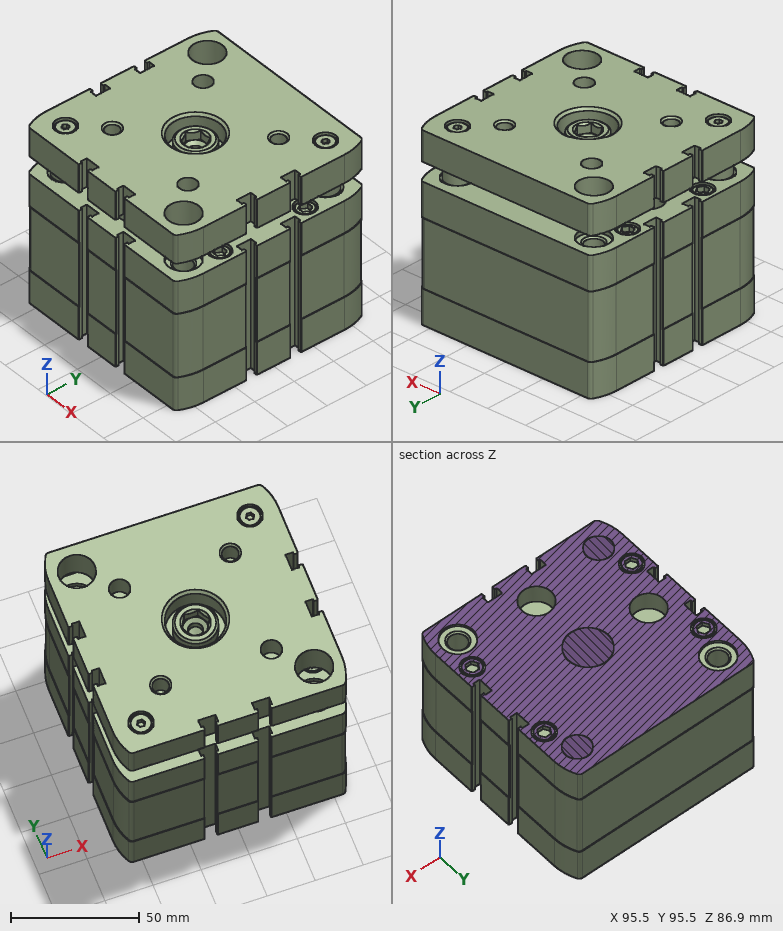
import cadquery as cq
import math

width = 95.5
half = width / 2
plate_top = 86.9
plate_thickness = 14.1
plate_bottom = plate_top - plate_thickness
housing_top = 64.0
cap_height = 16.2
barrel_inset = 0.3

corner_start = 35.8
corner_radius = 24.0
corner_blend = 2.0

slot_offset = 11.2
slot_mouth = 5.2
slot_width = 7.2
slot_lip = 1.7
slot_depth = 4.9
slot_edge_break = 0.3

corner_pitch = 36.0
rod_diameter = 12.0
rod_recess_diameter = 14.0
rod_recess_depth = 0.5
rod_bottom = cap_height
access_diameter = 15.0
mount_recess_depth = 2.0
mount_hole_diameter = 8.5
mount_chamfer_diameter = 10.0

screw_recess_diameter = 10.0
screw_recess_depth = 1.5
screw_head_chamfer = 0.3

rod_screw_head = 8.6
rod_screw_drop = 0.6
rod_screw_socket = 3.0
rod_screw_socket_depth = 2.0

fixing_pitch = 23.0
dowel_diameter = 8.4
dowel_depth = 10.0
tapped_diameter = 6.7

piston_rod_diameter = 20.0
flat_width = 17.0
flat_bottom = 65.7
flat_shoulder_drop = 0.6
plate_pocket_mouth = 26.4
plate_pocket_diameter = 24.0
plate_pocket_depth = 9.55
stud_diameter = 18.0
stud_drop = 2.9
stud_top = plate_top - stud_drop
stud_chamfer = 1.0
stud_socket_flats = 10.0
stud_socket_mouth = 12.0
stud_socket_depth = 4.6
stud_pilot_diameter = 6.0
drill_slope = 0.6
stud_pilot_depth = 3.0

cap_screw_x = 40.8
cap_screw_y = 21.7
cap_screw_head = 8.5
cap_screw_drop = 0.4
cap_screw_socket = 5.0
cap_screw_socket_depth = 2.5

pocket_diameter = 14.8
pocket_depth = 10.0
pocket_offset = 31.0

rod_places = [(-corner_pitch, -corner_pitch), (corner_pitch, corner_pitch)]
mount_places = [(-corner_pitch, corner_pitch), (corner_pitch, -corner_pitch)]
tapped_places = [(-fixing_pitch, -fixing_pitch), (fixing_pitch, fixing_pitch)]
dowel_places = [(-fixing_pitch, fixing_pitch), (fixing_pitch, -fixing_pitch)]
cap_screw_places = [(sx * cap_screw_x, sy * cap_screw_y) for sx in (-1, 1) for sy in (-1, 1)]
pocket_places = [(-pocket_offset, 0), (0, -pocket_offset)]


def cylinder(diameter, bottom, top, place=(0, 0)):
    """Upright cylinder between two heights."""
    return cq.Workplane("XY", origin=(*place, bottom)).circle(diameter / 2).extrude(top - bottom)


def cone(bottom_diameter, top_diameter, bottom, top, place=(0, 0)):
    """Upright cone frustum between two heights."""
    solid = cq.Solid.makeCone(
        bottom_diameter / 2, top_diameter / 2, top - bottom, cq.Vector(*place, bottom)
    )
    return cq.Workplane(solid)


def hexagon(flats, bottom, top, place=(0, 0)):
    """Upright hexagonal prism with two corners on the X direction."""
    corners = flats * 2 / math.sqrt(3)
    return cq.Workplane("XY", origin=(*place, bottom)).polygon(6, corners).extrude(top - bottom)


def block(bottom, top, inset=0.0):
    """Square block whose X sides curve inward toward the corners."""
    disc_x = half - corner_radius
    corner_rise = half - corner_start
    corner_x = disc_x + math.sqrt(corner_radius ** 2 - corner_rise ** 2)
    mid_y = corner_start + corner_rise / 2
    mid_x = disc_x + math.sqrt(corner_radius ** 2 - (corner_rise / 2) ** 2)
    outline = (
        cq.Workplane("XY", origin=(0, 0, bottom))
        .moveTo(-corner_x, -half)
        .lineTo(corner_x, -half)
        .threePointArc((mid_x, -mid_y), (half, -corner_start))
        .lineTo(half, corner_start)
        .threePointArc((mid_x, mid_y), (corner_x, half))
        .lineTo(-corner_x, half)
        .threePointArc((-mid_x, mid_y), (-half, corner_start))
        .lineTo(-half, -corner_start)
        .threePointArc((-mid_x, -mid_y), (-corner_x, -half))
        .close()
    )
    if inset:
        outline = outline.offset2D(-inset)
    solid = outline.extrude(top - bottom)
    return solid.edges("|Z and (>Y or <Y)").fillet(corner_blend)


def t_slots(bottom, top, inset=0.0):
    """T-slot pairs on the -Y, -X and +X sides, with the mouth edges broken at the block face."""
    face = -half + inset
    lip_inner = -half + slot_lip
    floor = -half + slot_depth
    mouth = slot_mouth / 2
    undercut = slot_width / 2
    flare = mouth + slot_edge_break
    profile = [
        (-flare, face), (-mouth, face + slot_edge_break), (-mouth, lip_inner), (-undercut, lip_inner),
        (-undercut, floor), (undercut, floor),
        (undercut, lip_inner), (mouth, lip_inner), (mouth, face + slot_edge_break), (flare, face),
    ]
    cutter = cq.Workplane("XY")
    for offset in (-slot_offset, slot_offset):
        slot = cq.Workplane("XY").polyline(profile).close().extrude(top - bottom)
        slot = slot.translate((offset, 0, bottom))
        for angle in (0, 90, -90):
            cutter = cutter.add(slot.rotate((0, 0, 0), (0, 0, 1), angle))
    return cutter.combine()


def slotted_block(bottom, top, inset=0.0):
    """Block with its T-slots cut along the full height."""
    return block(bottom, top, inset).cut(t_slots(bottom, top, inset))


def sink_screw(body, place, surface, head, drop, socket, socket_depth):
    """Form a screw head with a hexagon socket inside a round recess."""
    head_top = surface - drop
    recess_floor = surface - screw_recess_depth
    body = body.cut(cylinder(screw_recess_diameter, recess_floor, surface, place))
    screw_head = cylinder(head, recess_floor, head_top, place).faces(">Z").chamfer(screw_head_chamfer)
    body = body.union(screw_head)
    return body.cut(hexagon(socket, head_top - socket_depth, head_top, place))


def make_housing():
    """Barrel between two caps, with sockets for the rods and the cap screws."""
    cap_bottom = housing_top - cap_height
    body = slotted_block(0, cap_height)
    body = body.union(slotted_block(cap_height, cap_bottom, barrel_inset))
    body = body.union(slotted_block(cap_bottom, housing_top))
    body = body.cut(cylinder(piston_rod_diameter, rod_bottom, housing_top))
    for place in rod_places:
        body = body.cut(cylinder(rod_diameter, rod_bottom, housing_top, place))
        body = body.cut(
            cylinder(rod_recess_diameter, housing_top - rod_recess_depth, housing_top, place)
        )
    for place in mount_places:
        recess_floor = housing_top - mount_recess_depth
        chamfer = (mount_chamfer_diameter - mount_hole_diameter) / 2
        body = body.cut(cylinder(mount_hole_diameter, 0, housing_top, place))
        body = body.cut(cylinder(access_diameter, recess_floor, housing_top, place))
        body = body.cut(
            cone(mount_hole_diameter, mount_chamfer_diameter, recess_floor - chamfer, recess_floor, place)
        )
    for place in cap_screw_places:
        body = sink_screw(
            body, place, housing_top, cap_screw_head, cap_screw_drop, cap_screw_socket, cap_screw_socket_depth
        )
    for place in pocket_places:
        body = body.cut(cylinder(pocket_diameter, housing_top - pocket_depth, housing_top, place))
    return body


def make_piston_rod():
    """Round rod with two wrench flats that end in sloping shoulders."""
    radius = piston_rod_diameter / 2
    shoulder_bottom = flat_bottom - flat_shoulder_drop
    piston_rod = cylinder(piston_rod_diameter, rod_bottom, plate_bottom)
    for side in (-1, 1):
        inner = side * flat_width / 2
        outer = side * radius
        profile = [
            (inner, flat_bottom), (inner, plate_bottom), (outer, plate_bottom), (outer, shoulder_bottom),
        ]
        flat = cq.Workplane("YZ").polyline(profile).close().extrude(radius, both=True)
        piston_rod = piston_rod.cut(flat)
    return piston_rod


def add_stud(body):
    """Chamfered pocket in the plate with the piston rod's socketed stud inside."""
    pocket_floor = plate_top - plate_pocket_depth
    pocket_chamfer = (plate_pocket_mouth - plate_pocket_diameter) / 2
    body = body.cut(cylinder(plate_pocket_diameter, pocket_floor, plate_top))
    body = body.cut(
        cone(plate_pocket_diameter, plate_pocket_mouth, plate_top - pocket_chamfer, plate_top)
    )
    stud = cylinder(stud_diameter, pocket_floor, stud_top).faces(">Z").chamfer(stud_chamfer)
    body = body.union(stud)
    socket_floor = stud_top - stud_socket_depth
    mouth_depth = (stud_socket_mouth - stud_socket_flats) / 2
    body = body.cut(hexagon(stud_socket_flats, socket_floor, stud_top))
    body = body.cut(cone(stud_socket_flats, stud_socket_mouth, stud_top - mouth_depth, stud_top))
    pilot_top = socket_floor - (stud_socket_flats - stud_pilot_diameter) / 2 * drill_slope
    pilot_bottom = pilot_top - stud_pilot_depth
    tip = pilot_bottom - stud_pilot_diameter / 2 * drill_slope
    body = body.cut(cone(stud_pilot_diameter, stud_socket_flats, pilot_top, socket_floor))
    body = body.cut(cylinder(stud_pilot_diameter, pilot_bottom, pilot_top))
    body = body.cut(cone(0, stud_pilot_diameter, tip, pilot_bottom))
    return body


def make_slide():
    """Front plate with its piston rod and two guide rods."""
    body = slotted_block(plate_bottom, plate_top)
    body = body.union(make_piston_rod())
    body = add_stud(body)
    for place in rod_places:
        body = body.union(cylinder(rod_diameter, rod_bottom, plate_bottom, place))
        body = sink_screw(
            body, place, plate_top, rod_screw_head, rod_screw_drop, rod_screw_socket, rod_screw_socket_depth
        )
    for place in mount_places:
        body = body.cut(cylinder(access_diameter, plate_bottom, plate_top, place))
    for place in dowel_places:
        body = body.cut(cylinder(dowel_diameter, plate_top - dowel_depth, plate_top, place))
    for place in tapped_places:
        chamfer = (dowel_diameter - tapped_diameter) / 2
        body = body.cut(cylinder(tapped_diameter, plate_top - dowel_depth, plate_top, place))
        body = body.cut(cone(tapped_diameter, dowel_diameter, plate_top - chamfer, plate_top, place))
    return body


housing = make_housing().solids()
slide = make_slide().solids()
result = cq.Compound.makeCompound([housing.val(), slide.val()])